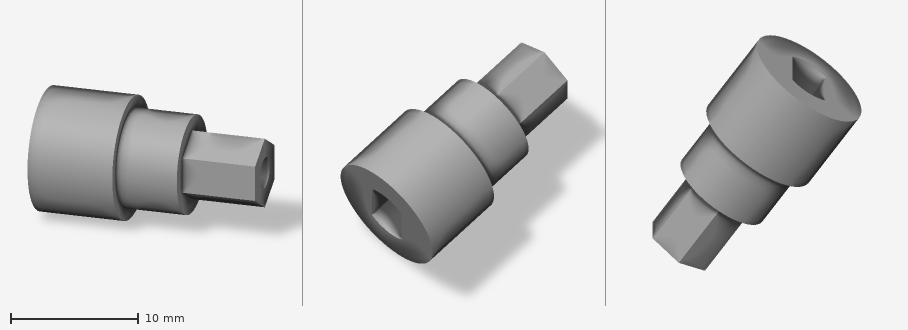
import cadquery as cq
import math

total_length = 18.0
head_length = 7.0
collar_length = 5.0
hex_length = total_length - head_length - collar_length
socket_depth = head_length

head_diameter = 10.0
collar_diameter = 8.0
hex_across_flats = 5.0
hex_across_corners = hex_across_flats / math.cos(math.pi / 6)
socket_diameter = 5.2
socket_across_flats = 3.2
bore_diameter = 2.5


def section_plane(x):
    """Plane facing +X at the given distance from the socket end."""
    return cq.Workplane("YZ", origin=(x, 0, 0))


def stepped_body():
    """Round head and collar followed by a hexagonal drive."""
    head = section_plane(0).circle(head_diameter / 2).extrude(head_length)
    collar = section_plane(head_length).circle(collar_diameter / 2).extrude(collar_length)
    drive = (
        section_plane(head_length + collar_length)
        .transformed(rotate=(0, 0, 90))
        .polygon(6, hex_across_corners)
        .extrude(hex_length)
    )
    return head.union(collar).union(drive)


def double_flat_socket():
    """Round socket cut down by two flats facing +Y and -Y."""
    round_socket = section_plane(0).circle(socket_diameter / 2).extrude(socket_depth)
    flats = section_plane(0).rect(socket_across_flats, socket_diameter).extrude(socket_depth)
    return round_socket.intersect(flats)


def through_bore():
    return section_plane(0).circle(bore_diameter / 2).extrude(total_length)


result = stepped_body().cut(double_flat_socket()).cut(through_bore())